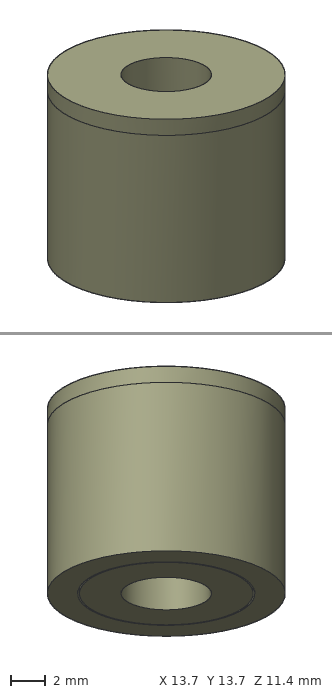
import cadquery as cq

outer_diameter = 13.7
total_height = 11.4
flange_thickness = 1.0

bore_diameter = 5.2
barrel_diameter = 10.0

sleeve_bore_diameter = 10.2
sleeve_height = total_height - flange_thickness


def make_bushing():
    """Barrel with a flange at its top end and a bore right through."""
    barrel = cq.Workplane("XY").circle(barrel_diameter / 2).extrude(total_height)
    flange = (
        cq.Workplane("XY")
        .workplane(offset=sleeve_height)
        .circle(outer_diameter / 2)
        .extrude(flange_thickness)
    )
    bore = cq.Workplane("XY").circle(bore_diameter / 2).extrude(total_height)
    return barrel.union(flange).cut(bore)


def make_sleeve():
    """Tube around the barrel, touching the underside of the flange."""
    return (
        cq.Workplane("XY")
        .circle(outer_diameter / 2)
        .circle(sleeve_bore_diameter / 2)
        .extrude(sleeve_height)
    )


bushing = make_bushing()
sleeve = make_sleeve()

result = cq.Compound.makeCompound([bushing.val(), sleeve.val()])